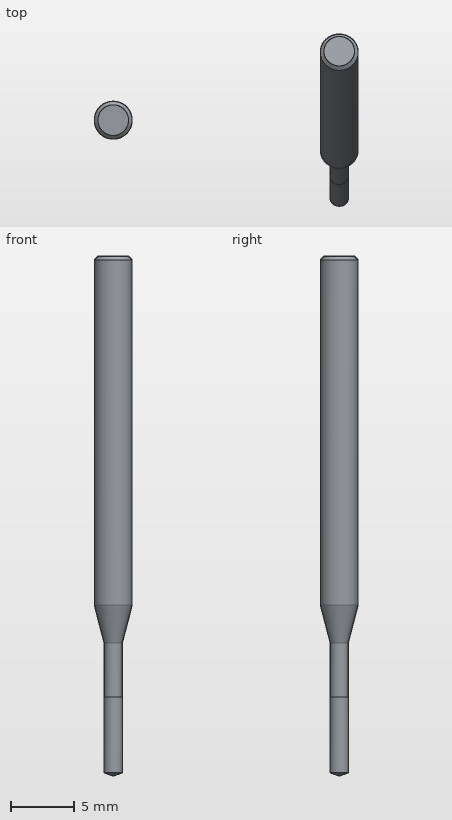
import cadquery as cq
import math

overall_length = 41.0

shank_diameter = 3.0
end_chamfer_width = 0.3
end_chamfer_height = 0.3
taper_top_z = 13.5
taper_bottom_z = 10.5

cutter_diameter = 1.48
neck_diameter = 1.45
cutter_top_z = 6.25
point_angle = 140.0

shank_radius = shank_diameter / 2
cutter_radius = cutter_diameter / 2
neck_radius = neck_diameter / 2
point_height = cutter_radius / math.tan(math.radians(point_angle / 2))


def revolve_about_z(profile):
    """Turn a closed (radius, height) profile fully around the Z axis."""
    return (
        cq.Workplane("XZ")
        .polyline(profile)
        .close()
        .revolve(360, (0, 0, 0), (0, 1, 0))
    )


def make_shank():
    """Cylindrical shank that tapers down to the neck."""
    return revolve_about_z([
        (0, cutter_top_z),
        (neck_radius, cutter_top_z),
        (neck_radius, taper_bottom_z),
        (shank_radius, taper_top_z),
        (shank_radius, overall_length - end_chamfer_height),
        (shank_radius - end_chamfer_width, overall_length),
        (0, overall_length),
    ])


def make_cutter():
    """Cylindrical cutting end with a conical point at the origin."""
    return revolve_about_z([
        (0, 0),
        (cutter_radius, point_height),
        (cutter_radius, cutter_top_z),
        (0, cutter_top_z),
    ])


shank = make_shank()
cutter = make_cutter()

result = cq.Compound.makeCompound([shank.val(), cutter.val()])